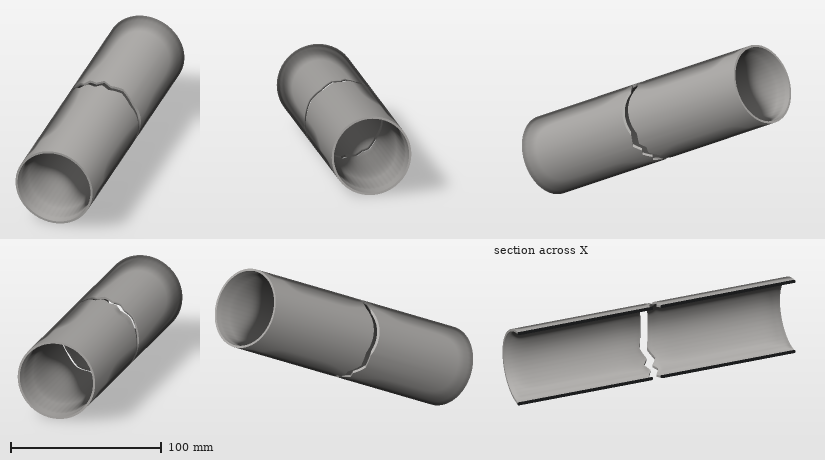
import cadquery as cq

length = 200.0
outer_diameter = 54.0
inner_diameter = 51.0

outer_radius = outer_diameter / 2
half_length = length / 2

rear_break = [
    (-outer_radius, 5.2),
    (-21.5, 2.2),
    (-16.0, 6.0),
    (-11.8, 2.0),
    (-8.5, 4.8),
    (-2.5, 1.0),
    (1.5, 4.8),
    (7.2, 1.0),
    (14.5, 5.2),
    (22.0, 2.5),
    (outer_radius, 5.2),
]
front_break = [
    (-outer_radius, -0.2),
    (-21.5, -3.2),
    (-16.5, -0.2),
    (-13.0, -3.5),
    (-8.5, -0.8),
    (-2.0, -4.8),
    (1.8, -1.2),
    (7.2, -4.5),
    (15.2, 0.0),
    (22.2, -3.0),
    (outer_radius, -0.5),
]


def whole_tube():
    """The unbroken tube, centred on the origin."""
    return (
        cq.Workplane("XZ")
        .circle(outer_radius)
        .circle(inner_diameter / 2)
        .extrude(half_length, both=True)
    )


def tube_piece(break_edge, end_y):
    """The part of the tube between its broken edge and its plain end."""
    piece_outline = break_edge + [(outer_radius, end_y), (-outer_radius, end_y)]
    piece_envelope = (
        cq.Workplane("XY")
        .polyline(piece_outline)
        .close()
        .extrude(outer_radius, both=True)
    )
    return whole_tube().intersect(piece_envelope).solids()


rear_tube = tube_piece(rear_break, half_length)
front_tube = tube_piece(front_break, -half_length)

result = cq.Compound.makeCompound([rear_tube.val(), front_tube.val()])